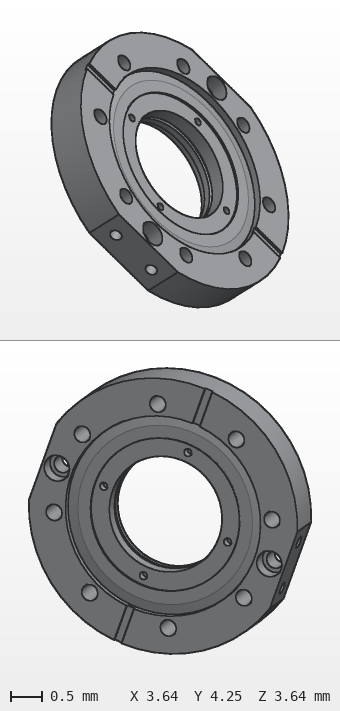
import cadquery as cq

flange_diameter = 4.462
thickness = 0.685
width_across_flats = 4.25
tilt_angle = 45.0
front = thickness / 2
back = -front

recess_radius = 1.62
recess_depth = 0.125
ridge_radius = 1.45
ridge_depth = 0.095
inner_recess_radius = 1.235
inner_recess_depth = 0.128
inner_floor = front - inner_recess_depth

bore_radius = 0.935
groove_radius = 1.0
groove_width = 0.06
groove_depth_from_front = 0.375
back_bore_radius = 1.0
back_bore_depth = 0.135

bolt_count = 8
bolt_circle_radius = 1.81
bolt_diameter = 0.265
pin_count = 4
pin_circle_radius = 1.092
pin_diameter = 0.125
pin_depth = 0.17
flat_hole_offset = 1.875
flat_hole_diameter = 0.28
counterbore_diameter = 0.415
counterbore_depth = 0.29

side_hole_offset = 0.41
side_hole_diameter = 0.19
side_hole_depth = 0.425

leak_groove_width = 0.128
leak_groove_depth = 0.04


def disc(radius, bottom, top):
    """Cylinder on the flange axis between two heights."""
    return cq.Workplane("XY").workplane(offset=bottom).circle(radius).extrude(top - bottom)


def polar_holes(count, circle_radius, diameter, bottom, top, start_angle):
    """Equally spaced axial holes."""
    return (
        cq.Workplane("XY")
        .workplane(offset=bottom)
        .polarArray(circle_radius, start_angle, 360, count)
        .circle(diameter / 2)
        .extrude(top - bottom)
    )


def seal_recess():
    """Revolved recess: outer wall, conical floor, flat ridge and inner step."""
    profile = [
        (0, front),
        (recess_radius, front),
        (recess_radius, front - recess_depth),
        (ridge_radius, front - ridge_depth),
        (inner_recess_radius, front - ridge_depth),
        (inner_recess_radius, inner_floor),
        (0, inner_floor),
    ]
    return cq.Workplane("XZ").polyline(profile).close().revolve(360, (0, 0, 0), (0, 1, 0))


def central_bore():
    """Through bore, retaining groove and wider back end."""
    groove_top = front - groove_depth_from_front
    return (
        disc(bore_radius, back, front)
        .union(disc(groove_radius, groove_top - groove_width, groove_top))
        .union(disc(back_bore_radius, back, back + back_bore_depth))
    )


def flat_holes():
    """Counterbored through hole beside each flat."""
    places = [(0, -flat_hole_offset), (0, flat_hole_offset)]
    through = (
        cq.Workplane("XY").workplane(offset=back)
        .pushPoints(places).circle(flat_hole_diameter / 2).extrude(thickness)
    )
    counterbores = (
        cq.Workplane("XY").workplane(offset=front)
        .pushPoints(places).circle(counterbore_diameter / 2).extrude(-counterbore_depth)
    )
    return through.union(counterbores)


def side_holes():
    """Pair of blind holes in the -Y flat, mirrored to the +Y flat."""
    pair = (
        cq.Workplane("XZ", origin=(0, -width_across_flats / 2, 0))
        .pushPoints([(-side_hole_offset, 0), (side_hole_offset, 0)])
        .circle(side_hole_diameter / 2)
        .extrude(-side_hole_depth)
    )
    return pair.union(pair.mirror("XZ"))


def leak_grooves():
    """Straight shallow groove across the rim, open to the recess on both sides."""
    return cq.Workplane("XY", origin=(0, 0, front - leak_groove_depth / 2)).box(
        flange_diameter, leak_groove_width, leak_groove_depth
    )


flange = disc(flange_diameter / 2, back, front).intersect(
    cq.Workplane("XY").box(flange_diameter, width_across_flats, thickness)
)
flange = (
    flange.cut(seal_recess())
    .cut(central_bore())
    .cut(polar_holes(bolt_count, bolt_circle_radius, bolt_diameter, back, front, 180 / bolt_count))
    .cut(polar_holes(pin_count, pin_circle_radius, pin_diameter, inner_floor - pin_depth, inner_floor, 0))
    .cut(flat_holes())
    .cut(side_holes())
    .cut(leak_grooves())
)

result = flange.rotate((0, 0, 0), (0, 1, 0), tilt_angle)